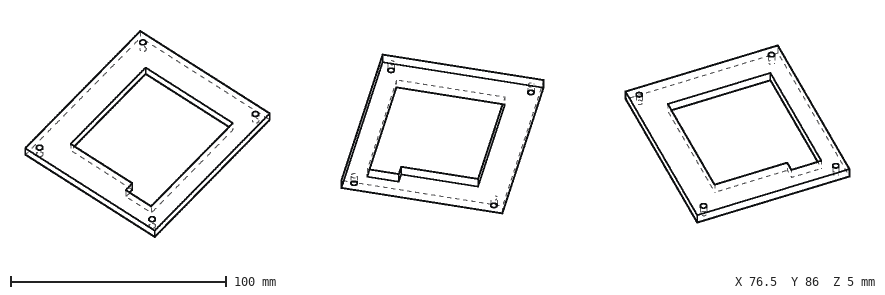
import cadquery as cq

plate_width = 76.5
plate_length = 86.0
plate_thickness = 5.0

frame_left = 15.0
frame_right = 10.0
frame_top = 15.0
frame_bottom = 10.0

ledge_height = 5.0
notch_width = 15.0

hole_diameter = 2.9
hole_inset_x = 5.02
hole_inset_y = 4.4

window_left = -plate_width / 2 + frame_left
window_right = plate_width / 2 - frame_right
window_top = plate_length / 2 - frame_top
window_bottom = -plate_length / 2 + frame_bottom


def make_plate():
    """Rectangular plate centred on X and Y, with its underside at Z = 0."""
    return cq.Workplane("XY").box(plate_width, plate_length, plate_thickness, centered=(True, True, False))


def make_window():
    """Through opening with a notch stepping down at its lower right corner."""
    ledge_top = window_bottom + ledge_height
    notch_left = window_right - notch_width
    outline = [
        (window_left, window_top),
        (window_right, window_top),
        (window_right, window_bottom),
        (notch_left, window_bottom),
        (notch_left, ledge_top),
        (window_left, ledge_top),
    ]
    return cq.Workplane("XY").polyline(outline).close().extrude(plate_thickness)


def make_mounting_holes():
    """One through hole near each corner of the plate."""
    spacing_x = plate_width - 2 * hole_inset_x
    spacing_y = plate_length - 2 * hole_inset_y
    return (
        cq.Workplane("XY")
        .rect(spacing_x, spacing_y, forConstruction=True)
        .vertices()
        .circle(hole_diameter / 2)
        .extrude(plate_thickness)
    )


result = make_plate().cut(make_window()).cut(make_mounting_holes())